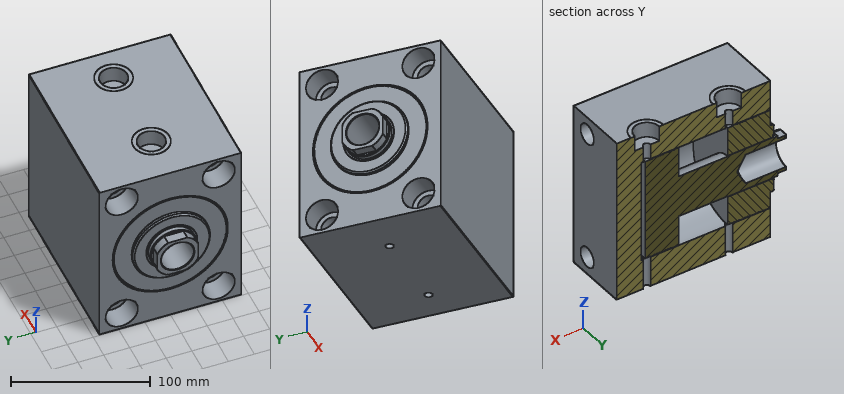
import cadquery as cq

BLOCK_LENGTH = 133.0
BLOCK_WIDTH = 110.0
BLOCK_HEIGHT = 140.0
LONG_EDGE_CHAMFER = 0.5

BORE_RADIUS = 43.5
BORE_DEPTH = 111.7
BORE_MOUTH_CHAMFER = 1.2

BOLT_SPACING_Y = 75.0
BOLT_SPACING_Z = 110.0
BOLT_HOLE_DIAMETER = 16.9
BOLT_HEAD_DIAMETER = 25.0
BOLT_HEAD_DEPTH = 18.2

FRONT_PORT_X = 35.7
PORT_SPACING = 71.1
PORT_FACE_DIAMETER = 28.0
PORT_FACE_DEPTH = 0.1
PORT_THREAD_DIAMETER = 21.0
PORT_THREAD_DEPTH = 13.1
OIL_HOLE_DIAMETER = 6.0

GLAND_INNER_END = 37.0
COLLAR_RADIUS = 30.0
COLLAR_LENGTH = 3.2
COLLAR_CHAMFER = 1.2
WIPER_SEAT_RADIUS = 19.7
WIPER_SEAT_DEPTH = 0.7

ROD_DIAMETER = 36.0
ROD_RADIUS = ROD_DIAMETER / 2
ROD_CHAMFER = 0.6
ROD_TIP_RADIUS = ROD_RADIUS - ROD_CHAMFER
ROD_SHOULDER_X = -6.6
OVERALL_LENGTH = 147.0
ROD_END_X = BLOCK_LENGTH - OVERALL_LENGTH
ACROSS_FLATS = 31.5
PISTON_BACK_X = 108.6
PISTON_LENGTH = 29.4
ROD_BORE_DIAMETER = 25.3
ROD_BORE_CHAMFER = 0.5
ROD_BORE_DEPTH = 35.3
DRILL_POINT_LENGTH = 7.4


def cylinder(start_x, end_x, radius):
    """A cylinder on the X axis."""
    return cq.Workplane("YZ", origin=(start_x, 0, 0)).circle(radius).extrude(end_x - start_x)


def make_housing():
    block = cq.Workplane("XY").box(BLOCK_LENGTH, BLOCK_WIDTH, BLOCK_HEIGHT, centered=(False, True, True))
    block = block.edges("|X").chamfer(LONG_EDGE_CHAMFER)

    block = block.cut(cylinder(0, BORE_DEPTH, BORE_RADIUS))
    block = block.faces("<X").edges("%CIRCLE").chamfer(BORE_MOUTH_CHAMFER)

    block = (
        block.faces("<X")
        .workplane(origin=(0, 0, 0))
        .rect(BOLT_SPACING_Y, BOLT_SPACING_Z, forConstruction=True)
        .vertices()
        .cboreHole(BOLT_HOLE_DIAMETER, BOLT_HEAD_DIAMETER, BOLT_HEAD_DEPTH)
    )

    ports = [(FRONT_PORT_X, 0), (FRONT_PORT_X + PORT_SPACING, 0)]
    top = cq.Workplane("XY", origin=(0, 0, BLOCK_HEIGHT / 2)).pushPoints(ports)
    block = block.cut(top.circle(PORT_FACE_DIAMETER / 2).extrude(-PORT_FACE_DEPTH))
    block = block.cut(top.circle(PORT_THREAD_DIAMETER / 2).extrude(-PORT_THREAD_DEPTH))
    return block.cut(top.circle(OIL_HOLE_DIAMETER / 2).extrude(-BLOCK_HEIGHT))


def make_gland():
    collar = cylinder(-COLLAR_LENGTH, 0, COLLAR_RADIUS).faces("<X").chamfer(COLLAR_CHAMFER)
    gland = cylinder(0, GLAND_INNER_END, BORE_RADIUS).union(collar)
    gland = gland.cut(cylinder(-COLLAR_LENGTH, GLAND_INNER_END, ROD_RADIUS))
    return gland.cut(cylinder(-COLLAR_LENGTH, WIPER_SEAT_DEPTH - COLLAR_LENGTH, WIPER_SEAT_RADIUS))


def make_piston():
    tip = cylinder(ROD_END_X, ROD_SHOULDER_X, ROD_TIP_RADIUS)
    flats = cq.Workplane("YZ", origin=(ROD_END_X, 0, 0)).rect(ACROSS_FLATS, ACROSS_FLATS)
    tip = tip.intersect(flats.extrude(ROD_SHOULDER_X - ROD_END_X))

    rod = cylinder(ROD_SHOULDER_X, PISTON_BACK_X, ROD_RADIUS).faces("<X").chamfer(ROD_CHAMFER)
    head = cylinder(PISTON_BACK_X - PISTON_LENGTH, PISTON_BACK_X, BORE_RADIUS)

    bore_radius = ROD_BORE_DIAMETER / 2
    bore_end_x = ROD_END_X + ROD_BORE_DEPTH
    bore_profile = [
        (ROD_END_X, 0),
        (ROD_END_X, bore_radius + ROD_BORE_CHAMFER),
        (ROD_END_X + ROD_BORE_CHAMFER, bore_radius),
        (bore_end_x, bore_radius),
        (bore_end_x + DRILL_POINT_LENGTH, 0),
    ]
    bore = cq.Workplane("XY").polyline(bore_profile).close().revolve(360, (0, 0, 0), (1, 0, 0))
    return tip.union(rod).union(head).cut(bore)


housing = make_housing()
gland = make_gland()
piston = make_piston()

result = cq.Compound.makeCompound([housing.val(), gland.val(), piston.val()])